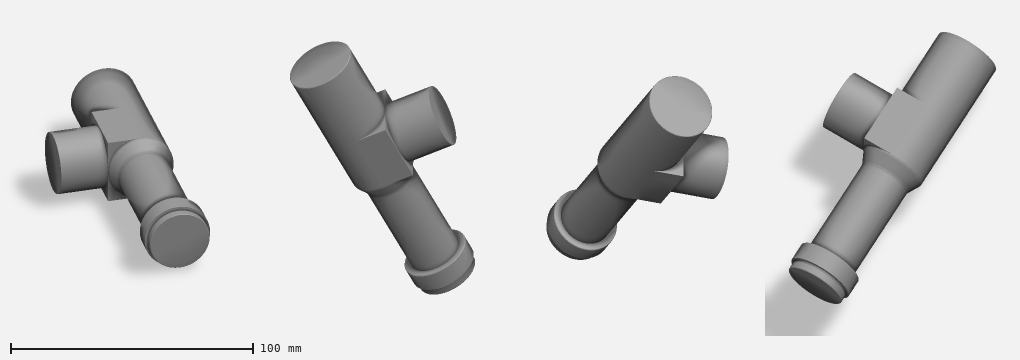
import cadquery as cq

total_length = 120.4
body_radius = 14.0
body_length = 59.3
taper_length = 6.0
stem_radius = 11.0
flange_start = 108.3
flange_end = 116.3
flange_radius = body_radius
neck_radius = 12.3
neck_length = 1.0
end_ring_radius = 12.8

edge_chamfer = 0.25
taper_wide_blend = 2.0
taper_narrow_blend = 2.5

branch_center_x = 45.8
branch_diameter = 26.0
branch_end_y = -34.0
saddle_width = branch_diameter


def disc_along_x(start_x, end_x, radius):
    """Solid cylinder on the X axis between two stations."""
    return cq.Workplane("YZ", origin=(start_x, 0, 0)).circle(radius).extrude(end_x - start_x)


def ring_edges_at(part, station_x):
    """Circular edges of the part that lie in the plane X = station_x."""
    tolerance = 0.05
    reach = 2 * body_radius
    slab = cq.selectors.BoxSelector(
        (station_x - tolerance, -reach, -reach),
        (station_x + tolerance, reach, reach),
    )
    return part.edges("%CIRCLE").edges(slab)


def make_body_and_stem():
    """Body that tapers down to the stem, with both ends of the taper blended."""
    taper_end = body_length + taper_length
    run = (
        cq.Workplane("XY")
        .moveTo(0, 0)
        .lineTo(0, body_radius)
        .lineTo(body_length, body_radius)
        .lineTo(taper_end, stem_radius)
        .lineTo(flange_start, stem_radius)
        .lineTo(flange_start, 0)
        .close()
        .revolve(360, (0, 0, 0), (1, 0, 0))
    )
    run = run.faces("<X").chamfer(edge_chamfer)
    run = ring_edges_at(run, body_length).fillet(taper_wide_blend)
    return ring_edges_at(run, taper_end).fillet(taper_narrow_blend)


def make_flanged_end():
    """Flange, short neck and end ring that close the stem."""
    neck_end = flange_end + neck_length
    flange = disc_along_x(flange_start, flange_end, flange_radius).faces("<X").chamfer(edge_chamfer)
    neck = disc_along_x(flange_end, neck_end, neck_radius)
    end_ring = disc_along_x(neck_end, total_length, end_ring_radius).faces(">X").chamfer(edge_chamfer)
    return flange.union(neck).union(end_ring)


def make_branch():
    """Square saddle block on the -Y half of the body, carrying the round branch."""
    saddle = (
        cq.Workplane("XY", origin=(branch_center_x, -body_radius / 2, 0))
        .box(saddle_width, body_radius, 2 * body_radius)
    )
    branch = (
        cq.Workplane("XZ", origin=(branch_center_x, 0, 0))
        .circle(branch_diameter / 2)
        .extrude(-branch_end_y)
    )
    return saddle.union(branch)


result = make_body_and_stem().union(make_flanged_end()).union(make_branch())